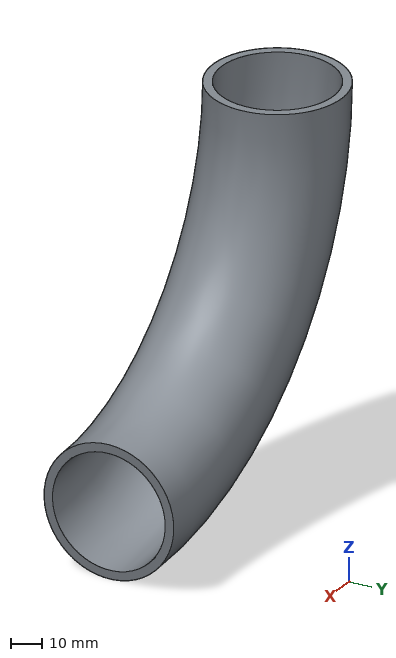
import cadquery as cq

overall_size = 132.2
pipe_diameter = 48.2
wall_thickness = 3.2
bend_angle = 90.0

pipe_radius = pipe_diameter / 2
bore_radius = pipe_radius - wall_thickness
bend_radius = overall_size - pipe_radius

end_ring = cq.Workplane("XY").circle(pipe_radius).circle(bore_radius)

bend_axis_start = (bend_radius, 0)
bend_axis_end = (bend_radius, -1)
result = end_ring.revolve(bend_angle, bend_axis_start, bend_axis_end)